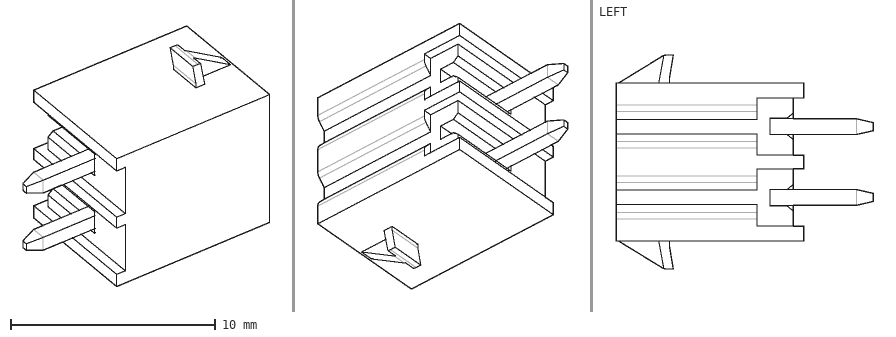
import cadquery as cq
import math


width = 7.0
depth = 9.2
bay_height = 2.8
middle_plate = 0.67
outer_plate = 0.74
pitch = bay_height + middle_plate
height = 2 * (bay_height + outer_plate) + middle_plate
bay_setback = 0.52
left_face = -width / 2

side_recess_depth = 0.48
side_recess_length = 2.29
groove_floor_height = 0.7
groove_mouth_height = 1.74
groove_mouth_radius = 0.47

pin_offset = 0.5
pin_width = 0.82
pin_height = 0.78
pin_length = 3.4
tip_length = 0.83
tip_width = 0.3
tip_height = 0.4

slot_back = 1.65
slot_clearance = 0.032
slot_height = pin_height + slot_clearance
slot_right = pin_offset + pin_width / 2
lead_in_height = 0.25
lead_in_depth = 0.3

latch_height = 1.37
latch_back_gap = 0.13
latch_ramp_angle = 31.5
latch_tip_radius = 0.5
latch_front = 2.62
latch_lip_height = 0.24
latch_lean = 0.19
barb_base_thickness = 0.53
barb_tip_thickness = 0.47
barb_width = 1.92
web_width = 0.74


def make_housing():
    """Block with each bay set back behind the plate edges."""
    block = cq.Workplane("XY").box(width, depth, height).translate((0, depth / 2, 0))
    for bay_z in (-pitch / 2, pitch / 2):
        setback = cq.Workplane("XY").box(width, bay_setback, bay_height)
        block = block.cut(setback.translate((0, bay_setback / 2, bay_z)))
    return block


def make_side_recess(bay_z):
    """Recess of the left face over the full bay height, near the pin side."""
    recess = cq.Workplane("XY").box(side_recess_depth, side_recess_length, bay_height)
    return recess.translate((left_face + side_recess_depth / 2, side_recess_length / 2, bay_z))


def make_groove(bay_z):
    """Flared groove along the left face, its mouth edges rounded into the face."""
    floor_x = left_face + side_recess_depth
    floor_half = groove_floor_height / 2
    mouth_half = groove_mouth_height / 2
    flare_angle = math.atan2(side_recess_depth, mouth_half - floor_half)
    tangent = groove_mouth_radius * math.tan(flare_angle / 2)
    arc_x = left_face + tangent * math.sin(flare_angle)
    arc_half = mouth_half - tangent * math.cos(flare_angle)
    outer_half = mouth_half + tangent
    mid_x = left_face + groove_mouth_radius * (1 - math.cos(flare_angle / 2))
    mid_half = outer_half - groove_mouth_radius * math.sin(flare_angle / 2)

    profile = (
        cq.Workplane("XZ")
        .moveTo(left_face, outer_half)
        .threePointArc((mid_x, mid_half), (arc_x, arc_half))
        .lineTo(floor_x, floor_half)
        .lineTo(floor_x, -floor_half)
        .lineTo(arc_x, -arc_half)
        .threePointArc((mid_x, -mid_half), (left_face, -outer_half))
        .close()
    )
    groove = profile.extrude(-(depth - side_recess_length))
    return groove.translate((0, side_recess_length, bay_z))


def make_slot(side):
    """Slot of one bay with a flared lead-in; the clearance lies on the outer side of the pin."""
    half = slot_height / 2
    lead_in_half = half + lead_in_height
    lead_in_end = bay_setback + lead_in_depth
    profile = (
        cq.Workplane("YZ")
        .polyline([
            (bay_setback, lead_in_half),
            (lead_in_end, half),
            (slot_back, half),
            (slot_back, -half),
            (lead_in_end, -half),
            (bay_setback, -lead_in_half),
        ])
        .close()
    )
    slot = profile.extrude(slot_right - left_face)
    return slot.translate((left_face, 0, side * (pitch + slot_clearance) / 2))


def make_pin(bay_z):
    """Rectangular pin with a tapered tip, rooted in the back wall of its slot."""
    shaft_length = slot_back + pin_length - tip_length
    return (
        cq.Workplane("XZ", origin=(pin_offset, slot_back, bay_z))
        .rect(pin_width, pin_height)
        .extrude(shaft_length)
        .faces("<Y")
        .workplane()
        .rect(pin_width, pin_height)
        .workplane(offset=tip_length)
        .rect(tip_width, tip_height)
        .loft(combine=True)
    )


def make_latch():
    """Ramped web ending in a wider leaning barb, on the top plate."""
    ramp_foot = depth - latch_back_gap
    ramp_top = ramp_foot - latch_height / math.tan(math.radians(latch_ramp_angle))
    barb_front = depth - latch_front
    barb_tip = barb_front - latch_lean
    outline = (
        cq.Workplane("YZ")
        .polyline([
            (ramp_foot, 0),
            (ramp_top, latch_height),
            (barb_tip, latch_height),
            (barb_front, latch_lip_height),
            (barb_front, 0),
        ])
        .close()
    )
    tip_edge = cq.selectors.NearestToPointSelector((0, ramp_top, latch_height))
    wedge = outline.extrude(barb_width / 2, both=True).edges("|X").edges(tip_edge).fillet(latch_tip_radius)
    web_zone = cq.Workplane("XY").box(web_width, depth, 2 * latch_height).translate((0, depth / 2, 0))

    barb_zone = (
        cq.Workplane("YZ")
        .polyline([
            (barb_front + barb_base_thickness, 0),
            (barb_tip + barb_tip_thickness, latch_height),
            (barb_tip, latch_height),
            (barb_tip, 0),
        ])
        .close()
        .extrude(barb_width / 2, both=True)
    )
    return wedge.intersect(web_zone.union(barb_zone)).translate((0, 0, height / 2))


result = make_housing()
for side in (-1, 1):
    bay_z = side * pitch / 2
    result = result.cut(make_side_recess(bay_z)).cut(make_groove(bay_z)).cut(make_slot(side))
    result = result.union(make_pin(bay_z))

latch = make_latch()
result = result.union(latch).union(latch.mirror("XY"))